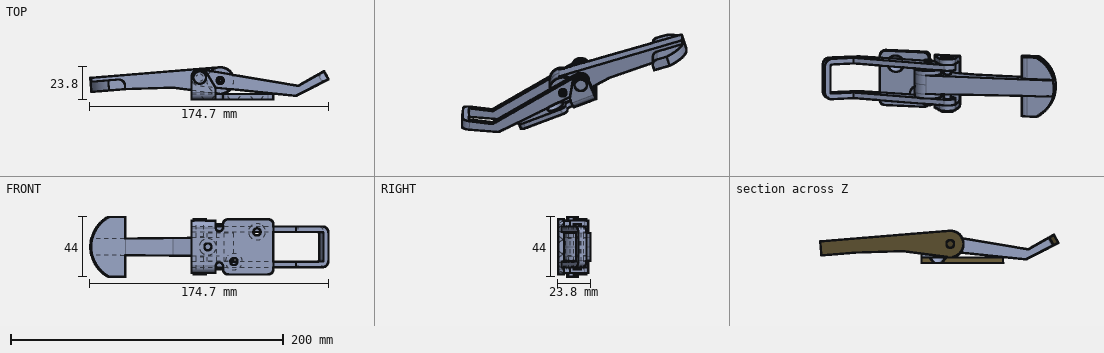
import cadquery as cq
import math


overall_length = 174.7
sheet = 4.2

bend_radius = 5.2
bracket_half_width = 19.2
ear_inner_half_width = bracket_half_width - sheet
ear_length = 17.8
ear_radius = 6.1
ear_corner_height = 8.5
notch_width = 5.2
notch_center_z = 14.0
plate_start = ear_length + notch_width
plate_end = 60.1
plate_half_width = 20.3
plate_corner_radius = 3.8
plate_hole_radius = 2.6
plate_hole_inner_radius = 6.1
plate_holes = [(12.0, 0.0), (31.1, -10.8), (48.0, 11.0)]

pin_radius = 2.6
main_axis = (ear_radius, 16.0)
main_head_radius = 4.5
main_head_height = 1.0
main_pin_inner_z = 7.5
ear_top = main_axis[1] + ear_radius

cam_radius = 9.8
cam_half_width = 10.3
cam_axis = (21.1, sheet + cam_radius)
lever_tilt = 4.7
lever_tip = -94.9
lever_tip_half_width = 6.0
lever_cam_half_width = 7.0
kink = (-35.1, -2.5)
grip_length = 25.0
grip_end = lever_tip + grip_length
grip_bottom = -0.7
grip_top = 6.8
grip_half_width = 22.0
grip_arc_depth = 13.1
grip_fillet = 4.5

bail_pin_half_length = 16.6
dimple_radius = 1.2
dimple_depth = 1.4

bail_half_width = ear_inner_half_width
bail_inner_half_width = bail_half_width - sheet
bail_bend_bottom = (76.5, 2.6)
bail_bend_top = (78.3, 10.1)
hook_angle = 29.0
hook_thickness = 6.8
hook_end_y = 14.9
bail_outer_corner = 5.0
bail_inner_corner = 1.0

tilt = math.radians(lever_tilt)
lever_left = cam_axis[0] + lever_tip * math.cos(tilt) - cam_radius * math.sin(tilt)
hook_end_bottom = (lever_left + overall_length, hook_end_y)


def tangent_point(center, radius, point, turn):
    """Where a tangent from `point` touches: counterclockwise of it for turn +1, clockwise for -1."""
    dx = point[0] - center[0]
    dy = point[1] - center[1]
    angle = math.atan2(dy, dx) + turn * math.acos(radius / math.hypot(dx, dy))
    return (center[0] + radius * math.cos(angle), center[1] + radius * math.sin(angle))


def block(x_start, x_end, y_start, y_end, half_width):
    """Box between the given X and Y limits, symmetric about Z = 0."""
    size = (x_end - x_start, y_end - y_start, 2 * half_width)
    return cq.Workplane("XY").box(*size, centered=(False, False, True)).translate((x_start, y_start, 0))


def z_cylinder(center, radius, half_length):
    return cq.Workplane("XY").center(*center).circle(radius).extrude(half_length, both=True)


def sheet_hole(x, z, radius):
    """Cutter along Y through the sheet of the mounting plate."""
    return cq.Workplane("XZ").center(x, z).circle(radius).extrude(-sheet)


def tapered_hole(x, z):
    """Cone that widens from the outer to the inner face of the sheet."""
    cone = cq.Solid.makeCone(
        plate_hole_radius, plate_hole_inner_radius, sheet, cq.Vector(x, 0, z), cq.Vector(0, 1, 0)
    )
    return cq.Workplane(cone)


def make_channel():
    outside = block(0, ear_length, 0, ear_top, bracket_half_width)
    outside = outside.faces("<Y").edges("|X").fillet(bend_radius)
    inside = block(0, ear_length, sheet, ear_top, ear_inner_half_width)
    inside = inside.faces("<Y").edges("|X").fillet(bend_radius - sheet)
    ear_corner = (ear_length, ear_corner_height)
    ear_outline = (
        cq.Workplane("XY")
        .lineTo(ear_length, 0)
        .lineTo(*ear_corner)
        .lineTo(*tangent_point(main_axis, ear_radius, ear_corner, 1))
        .threePointArc((main_axis[0], ear_top), (0, main_axis[1]))
        .close()
        .extrude(bracket_half_width, both=True)
    )
    return outside.cut(inside).intersect(ear_outline)


def make_bracket():
    plate = block(plate_start, plate_end, 0, sheet, plate_half_width)
    plate = plate.edges("|Y").fillet(plate_corner_radius)
    web = block(ear_length / 2, plate_start + plate_corner_radius, 0, sheet, notch_center_z)
    bracket = make_channel().union(web).union(plate)
    for side in (-1, 1):
        notch_x = ear_length + notch_width / 2
        bracket = bracket.cut(sheet_hole(notch_x, side * notch_center_z, notch_width / 2))
    for x, z in plate_holes:
        bracket = bracket.cut(tapered_hole(x, z))
    return bracket.cut(z_cylinder(main_axis, pin_radius, bracket_half_width))


def make_arm():
    """Lever arm: its side outline ends in the cam circle and its width tapers towards the tip."""
    side = (
        cq.Workplane("XY")
        .moveTo(lever_tip, grip_bottom)
        .lineTo(grip_end, grip_bottom)
        .lineTo(*kink)
        .lineTo(*tangent_point((0, 0), cam_radius, kink, 1))
        .threePointArc((cam_radius, 0), (0, cam_radius))
        .lineTo(lever_tip, cam_radius)
        .close()
        .extrude(cam_half_width, both=True)
    )
    taper = (
        cq.Workplane("XZ")
        .moveTo(lever_tip, -lever_tip_half_width)
        .lineTo(cam_radius, -lever_cam_half_width)
        .lineTo(cam_radius, lever_cam_half_width)
        .lineTo(lever_tip, lever_tip_half_width)
        .close()
        .extrude(cam_radius, both=True)
    )
    return side.intersect(taper)


def make_grip_arc():
    """Everything to the right of the arc that rounds the tip of the lever and its grip."""
    arc_end = lever_tip + grip_arc_depth
    return (
        cq.Workplane("XZ")
        .moveTo(arc_end, -grip_half_width)
        .threePointArc((lever_tip, 0), (arc_end, grip_half_width))
        .lineTo(cam_radius, grip_half_width)
        .lineTo(cam_radius, -grip_half_width)
        .close()
        .extrude(cam_radius, both=True)
    )


def make_lever():
    grip = block(lever_tip, grip_end, grip_bottom, grip_top, grip_half_width)
    grip = grip.edges(">X and >Y").fillet(grip_fillet)
    cam = z_cylinder((0, 0), cam_radius, cam_half_width)
    lever = make_arm().union(grip).intersect(make_grip_arc()).union(cam)
    lever = lever.cut(z_cylinder((0, 0), pin_radius, cam_half_width))
    return lever.rotate((0, 0, 0), (0, 0, 1), lever_tilt).translate((*cam_axis, 0))


def hook_block(setback, half_width, corner_radius):
    """Block ending square to the hook, `setback` before the hook's end, with rounded end corners."""
    reach = overall_length
    blank = block(-reach, -setback, -reach, reach, half_width)
    blank = blank.faces(">X").edges("|Y").fillet(corner_radius)
    return blank.rotate((0, 0, 0), (0, 0, 1), hook_angle).translate((*hook_end_bottom, 0))


def make_bail():
    slope = math.radians(hook_angle)
    hook_end_top = (
        hook_end_bottom[0] - hook_thickness * math.sin(slope),
        hook_end_bottom[1] + hook_thickness * math.cos(slope),
    )
    arm_bottom = tangent_point(main_axis, ear_radius, bail_bend_bottom, -1)
    arm_top = tangent_point(main_axis, ear_radius, bail_bend_top, 1)
    profile = (
        cq.Workplane("XY")
        .moveTo(*arm_bottom)
        .lineTo(*bail_bend_bottom)
        .lineTo(*hook_end_bottom)
        .lineTo(*hook_end_top)
        .lineTo(*bail_bend_top)
        .lineTo(*arm_top)
        .threePointArc((main_axis[0] - ear_radius, main_axis[1]), arm_bottom)
        .close()
        .extrude(bail_half_width, both=True)
    )
    bail = profile.intersect(hook_block(0, bail_half_width, bail_outer_corner))
    bail = bail.cut(hook_block(sheet, bail_inner_half_width, bail_inner_corner))
    for axis in (main_axis, cam_axis):
        bail = bail.cut(z_cylinder(axis, pin_radius, bail_half_width))
    return bail


def make_main_pin(side):
    """Rivet on the +Z side for side +1, on the -Z side for side -1."""
    shank_length = bracket_half_width - main_pin_inner_z
    shank = (
        cq.Workplane("XY", origin=(*main_axis, side * main_pin_inner_z))
        .circle(pin_radius)
        .extrude(side * shank_length)
    )
    head = (
        cq.Workplane("XY", origin=(*main_axis, side * bracket_half_width))
        .circle(main_head_radius)
        .extrude(side * main_head_height)
    )
    return shank.union(head)


def make_bail_pin():
    pin = z_cylinder(cam_axis, pin_radius, bail_pin_half_length)
    for side in (-1, 1):
        dimple = (
            cq.Workplane("XY", origin=(*cam_axis, side * bail_pin_half_length))
            .circle(dimple_radius)
            .extrude(-side * dimple_depth)
        )
        pin = pin.cut(dimple)
    return pin


bracket = make_bracket()
lever = make_lever()
bail = make_bail()
main_pins = [make_main_pin(side) for side in (-1, 1)]
bail_pin = make_bail_pin()

result = cq.Compound.makeCompound([
    bracket.val(),
    lever.val(),
    bail.val(),
    *[pin.val() for pin in main_pins],
    bail_pin.val(),
])